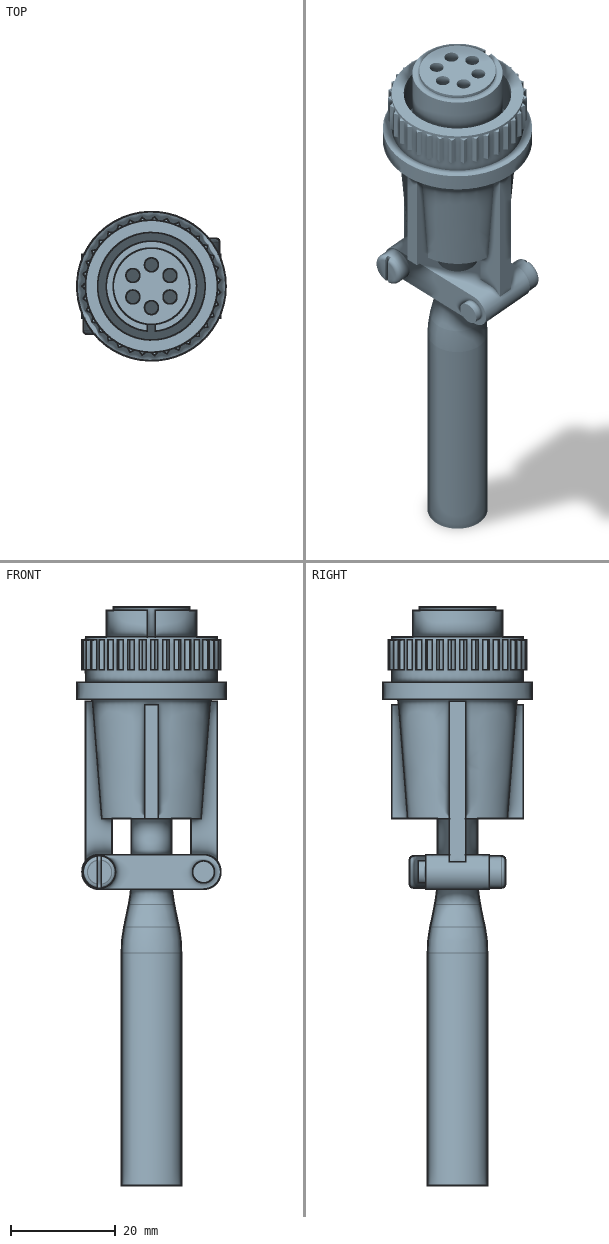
import cadquery as cq
import math

total_height = 110.7
shoulder_top = 110.0
collar_top = 104.9
knurl_top = 104.4
knurl_bottom = 98.6
flange_top = 96.3
flange_bottom = 93.0
leg_top = 92.6
rib_top = 92.0
shell_bottom = 70.2
clamp_center = 60.0
taper_top = 56.2
taper_bottom = 47.0

core_radius = 7.3
shoulder_radius = 8.6
keyway_width = 1.5
socket_count = 6
socket_radius = 1.3
socket_circle_radius = 4.1
socket_depth = 11.1
collar_radius = 12.6
bore_radius = 10.3
flange_radius = 14.3

tooth_count = 35
tooth_tip_radius = 13.3
tooth_half_width = 0.7

shell_top_radius = 11.4
shell_bottom_radius = 9.6
frame_reach = collar_radius
rib_width = 2.5
leg_width = 3.1
leg_inner = 7.5

neck_radius = 3.9
cable_radius = 5.8
taper_blend_radius = 24.4

clamp_half_length = 13.3
clamp_radius = 3.3
clamp_half_depth = 6.1
clamp_screw_x = clamp_half_length - clamp_radius
screw_head_radius = 3.1
screw_head_length = 3.1
screw_head_round = 0.8
screw_slot_width = 0.8
screw_slot_depth = 0.8
stud_radius = 2.1
stud_length = 1.4


def cylinder(radius, bottom, top):
    return cq.Workplane("XY").workplane(offset=bottom).circle(radius).extrude(top - bottom)


def block(x_range, y_range, z_range):
    sizes = [high - low for low, high in (x_range, y_range, z_range)]
    corner = (x_range[0], y_range[0], z_range[0])
    return cq.Workplane("XY").box(*sizes, centered=False).translate(corner)


def make_housing():
    """Flange and collar, bored out down to the flange top."""
    flange = cylinder(flange_radius, flange_bottom, flange_top)
    collar = cylinder(collar_radius, flange_top, collar_top)
    return flange.union(collar).cut(cylinder(bore_radius, flange_top, collar_top))


def make_knurl():
    """Ring carrying the triangular teeth; one tooth points along -X."""
    pitch = 2 * math.pi / tooth_count
    half_angle = math.asin(tooth_half_width / collar_radius)
    outline = []
    for index in range(tooth_count):
        tip_angle = math.pi + index * pitch
        for radius, turn in (
            (collar_radius, -half_angle),
            (tooth_tip_radius, 0),
            (collar_radius, half_angle),
        ):
            angle = tip_angle + turn
            outline.append((radius * math.cos(angle), radius * math.sin(angle)))
    teeth = cq.Workplane("XY").workplane(offset=knurl_bottom).polyline(outline).close()
    teeth = teeth.extrude(knurl_top - knurl_bottom)
    return teeth.cut(cylinder(bore_radius, knurl_bottom, knurl_top))


def make_insert():
    """Stepped insert with a keyway on the -Y side and a ring of sockets."""
    shoulder = cylinder(shoulder_radius, flange_top, shoulder_top)
    half_keyway = keyway_width / 2
    keyway = block((-half_keyway, half_keyway), (-shoulder_radius, 0), (flange_top, shoulder_top))
    core = cylinder(core_radius, flange_top, total_height)
    sockets = (
        cq.Workplane("XY")
        .workplane(offset=total_height - socket_depth)
        .polarArray(socket_circle_radius, 90, 360, socket_count)
        .circle(socket_radius)
        .extrude(socket_depth)
    )
    return shoulder.cut(keyway).union(core).cut(sockets)


def make_shell():
    """Tapered shell with the ribs and legs that stand on it."""
    shell_outline = [
        (0, shell_bottom),
        (shell_bottom_radius, shell_bottom),
        (shell_top_radius, flange_bottom),
        (0, flange_bottom),
    ]
    shell = cq.Workplane("XZ").polyline(shell_outline).close().revolve(360, (0, 0), (0, 1))
    half_rib = rib_width / 2
    ribs = block((-half_rib, half_rib), (-frame_reach, frame_reach), (shell_bottom, rib_top))
    half_leg = leg_width / 2
    leg = block((leg_inner, frame_reach), (-half_leg, half_leg), (clamp_center, leg_top))
    return shell.union(ribs).union(leg).union(leg.mirror("YZ"))


def make_cable():
    """Neck that widens through a blended taper to the full cable."""
    outline = [
        (0, 0),
        (cable_radius, 0),
        (cable_radius, taper_bottom),
        (neck_radius, taper_top),
        (neck_radius, shell_bottom),
        (0, shell_bottom),
    ]
    cable = cq.Workplane("XZ").polyline(outline).close().revolve(360, (0, 0), (0, 1))
    taper_ends = cable.edges("%CIRCLE and (not >Z) and (not <Z)")
    return taper_ends.fillet(taper_blend_radius)


def make_screw():
    """Slotted head on the -Y face and threaded end on the +Y face, at -X."""
    head = (
        cq.Workplane("XZ")
        .workplane(offset=clamp_half_depth)
        .circle(screw_head_radius)
        .extrude(screw_head_length)
        .faces("<Y")
        .edges()
        .fillet(screw_head_round)
    )
    head_face = -clamp_half_depth - screw_head_length
    slot = block(
        (-screw_slot_width / 2, screw_slot_width / 2),
        (head_face, head_face + screw_slot_depth),
        (-screw_head_radius, screw_head_radius),
    )
    stud_end = clamp_half_depth + stud_length
    stud = cq.Workplane("XZ").circle(stud_radius).extrude(-stud_end)
    return head.cut(slot).union(stud).translate((-clamp_screw_x, 0, clamp_center))


def make_clamp():
    """Round-ended clamp block; the two screws are turned opposite ways."""
    clamp = (
        cq.Workplane("XZ", origin=(0, 0, clamp_center))
        .slot2D(2 * clamp_half_length, 2 * clamp_radius)
        .extrude(clamp_half_depth, both=True)
    )
    screw = make_screw()
    turned_screw = screw.rotate((0, 0, 0), (0, 0, 1), 180)
    return clamp.union(screw).union(turned_screw)


result = make_housing()
for piece in (make_knurl(), make_insert(), make_shell(), make_cable(), make_clamp()):
    result = result.union(piece)